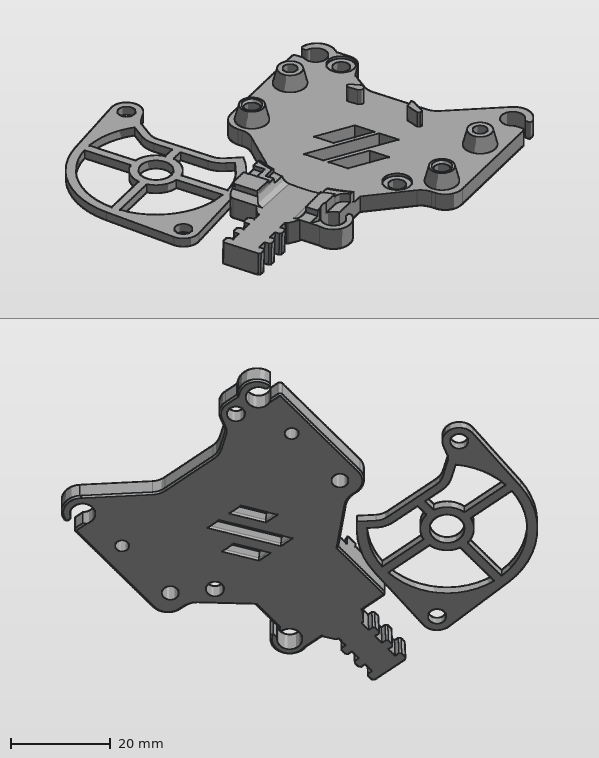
import cadquery as cq
import math

plate_top = 4.1
arm_top = 5.0
block_top = 6.9
pad_top = 7.55
grille_top = 2.0
edge_chamfer = 0.4

overshoot = 0.8

plate_half_width = 26.8
plate_bottom = -4.55
plate_corner_radius = 3.9
shoulder_x = 20.35
shoulder_radius = 4.25
lip_y = 24.35
lip_radius = 0.6

notch_y = 20.65
notch_half_width = 7.6
notch_radius = 4.25
notch_slope = math.radians(36)
notch_end_x = 20.5
boss_x, boss_y, boss_radius = -16.7, 26.05, 3.4
boss_flank = math.radians(20)
boss_blend_radius = 1.9
boss_flank_x = boss_x + boss_radius * math.cos(boss_flank)
boss_flank_y = boss_y + boss_radius * math.sin(boss_flank)

hook_x, hook_y = 22.8, 26.8
hook_radius = 3.9
hook_hole_y = 26.35
hook_hole_radius = 2.55
hook_gap_top = 27.0
tip_round = 0.55
side_hook_x, side_hook_y = 10.6, -24.05
side_hook_gap_x = 12.3
side_hook_tip_y = -21.0

screw_diameter = 3.6
screw_head_diameter = 6.0
screw_head_depth = 0.6
lower_screw = (14.25, -4.9)

standoff_spacing_x, standoff_spacing_y = 44.0, 15.2
standoff_center_x = -0.2
standoff_base_diameter, standoff_tip_diameter = 7.0, 5.25
pilot_top_diameter, pilot_bottom_diameter = 3.0, 2.8
insert_diameter, insert_mouth_diameter, insert_mouth_depth = 3.4, 4.2, 0.6

rounded_post_ends = [(-6.8, 16.2, 0.9), (-8.8, 15.7, 0.55)]
wedge_post_corners = [(4.6, 17.35), (5.5, 17.0), (8.4, 15.2), (8.25, 14.6), (7.7, 14.25), (4.85, 15.25)]

windows = [(-8.3, 0.8, 8.4), (-6.9, -5.7, 8.4), (-1.2, -5.7, 2.0)]
window_width = 4.55
window_lean = 0.66
window_inset = 0.6
window_straight_height = 1.0

block_left, block_right = -11.4, 10.55
block_bottom, block_left_top, block_right_top = -27.8, -12.65, -13.2
block_corner_radius = 0.9
wall_radius, wall_center_y = 29.3, 11.5
wall_chamfer_width, wall_chamfer_height = 0.6, 0.2
wall_foot_width, wall_foot_height = 0.4, 0.2
pad_front_y = -26.4
pad_corner_radius = 0.7
front_step_z = 6.25
left_pad_y = -21.9
right_pad_inner_y, right_pad_outer_y = -21.9, -18.9
outer_pocket_x, outer_pocket_y = -8.8, -18.0
inner_pocket_x, inner_pocket_y = -7.4, -20.0
pocket_floor = 6.0
clearance_x, clearance_y, clearance_radius = 8.3, -17.3, 2.3
clearance_outer_x = block_right + overshoot
clearance_flare_y = -26.05
clearance_flare_x, clearance_end_x = 8.6, 7.5
channel_half_width_inner, channel_half_width_outer = 5.4, 5.7
channel_radius = 2.0
channel_start_y = -15.4

arm_half_width = 3.0
neck_half_width, neck_end_half_width = 5.1, 3.6
neck_taper_y, neck_end_y = -29.9, -30.1
neck_end_chamfer = neck_taper_y - neck_end_y
tooth_half_width = 4.4
tooth_length, tooth_pitch, tooth_count = 2.0, 4.2, 3
first_tooth_y = -32.1
tooth_lean = 0.2
tooth_chamfer = 0.4

grille_dx, grille_dy = -30.1, -33.7
hub_x, hub_y = -31.1, -22.9
hub_diameter, hub_hole_diameter = 10.8, 7.0
ring_outer_radius, ring_inner_radius = 18.1, 16.0
spoke_width = 1.9
rim_width = 1.8
corner_ear_x, corner_ear_y, corner_ear_radius = -15.7, -38.45, 3.5


def rounded_outline(corners, z=0.0):
    """Closed outline through (x, y, radius) corners, each rounded by a tangent arc."""
    outline = None
    for i, (x, y, radius) in enumerate(corners):
        before, after = corners[i - 1], corners[(i + 1) % len(corners)]
        toward_before = cq.Vector(before[0] - x, before[1] - y).normalized()
        toward_after = cq.Vector(after[0] - x, after[1] - y).normalized()
        corner = cq.Vector(x, y)
        half_angle = toward_before.getAngle(toward_after) / 2
        setback = radius / math.tan(half_angle)
        start = corner + toward_before * setback
        end = corner + toward_after * setback
        if outline is None:
            outline = cq.Workplane("XY", origin=(0, 0, z)).moveTo(start.x, start.y)
        else:
            outline = outline.lineTo(start.x, start.y)
        if radius > 0:
            bisector = (toward_before + toward_after).normalized()
            middle = corner + bisector * (radius / math.sin(half_angle) - radius)
            outline = outline.threePointArc((middle.x, middle.y), (end.x, end.y))
    return outline.close()


def box(x_range, y_range, z_range):
    size = [high - low for low, high in (x_range, y_range, z_range)]
    return cq.Workplane("XY").box(*size, centered=False).translate((x_range[0], y_range[0], z_range[0]))


def disc(x, y, radius, bottom, top):
    return cq.Workplane("XY", origin=(x, y, bottom)).circle(radius).extrude(top - bottom)


def cone(x, y, bottom, bottom_diameter, top, top_diameter):
    lower = cq.Workplane("XY", origin=(x, y, bottom)).circle(bottom_diameter / 2)
    return lower.workplane(offset=top - bottom).circle(top_diameter / 2).loft()


def tangent_hull(first, second, height):
    """Two discs (x, y, radius) joined by their outer tangents."""
    (x1, y1, r1), (x2, y2, r2) = first, second
    heading = math.atan2(y2 - y1, x2 - x1)
    spread = math.acos((r1 - r2) / math.hypot(x2 - x1, y2 - y1))
    left, right = heading + spread, heading - spread
    points = [
        (x1 + r1 * math.cos(left), y1 + r1 * math.sin(left)),
        (x1 + r1 * math.cos(right), y1 + r1 * math.sin(right)),
        (x2 + r2 * math.cos(right), y2 + r2 * math.sin(right)),
        (x2 + r2 * math.cos(left), y2 + r2 * math.sin(left)),
    ]
    web = cq.Workplane("XY").polyline(points).close().extrude(height)
    return web.union(disc(x1, y1, r1, 0, height)).union(disc(x2, y2, r2, 0, height))


def notch_corners():
    """Corners of the upper edge, from the top of the screw boss to the right-hand hook."""
    slope = math.tan(notch_slope)
    boss_top = boss_y + boss_radius
    flank_run = math.tan(boss_flank)
    shoulder = boss_flank_x - (boss_top - boss_flank_y) * flank_run
    rise_at_flank = notch_y + slope * (-notch_half_width - boss_flank_x)
    drop = (boss_flank_y - rise_at_flank) / (1 - slope * flank_run)
    end_y = notch_y + slope * (notch_end_x - notch_half_width)
    return [
        (shoulder, boss_top, boss_radius),
        (boss_flank_x + flank_run * drop, boss_flank_y - drop, boss_blend_radius),
        (-notch_half_width, notch_y, notch_radius),
        (notch_half_width, notch_y, notch_radius),
        (notch_end_x, end_y, 0),
    ]


def upper_hook(side):
    x = side * hook_x
    hook = disc(x, hook_y, hook_radius, 0, plate_top).faces("<Z").chamfer(edge_chamfer)
    gap_ends = sorted((x, side * (plate_half_width + overshoot)))
    hook = hook.cut(box(gap_ends, (lip_y - hook_radius, hook_gap_top), (0, plate_top)))
    hook = hook.cut(disc(x, hook_hole_y, hook_hole_radius, 0, plate_top))
    tip_ends = sorted((x + side * hook_hole_radius / 2, side * (plate_half_width + overshoot)))
    tip = cq.selectors.BoxSelector(
        (tip_ends[0], hook_gap_top - tip_round, -overshoot),
        (tip_ends[1], hook_gap_top + tip_round, plate_top + overshoot),
    )
    return hook.edges("|Z").edges(tip).fillet(tip_round)


def base_plate():
    notch = notch_corners()
    boss_top = boss_y + boss_radius
    slope = math.tan(notch_slope)
    hook_side_x = -notch_half_width - (boss_top - notch_y) / slope
    corners = [
        (-plate_half_width, plate_bottom, plate_corner_radius),
        (-shoulder_x, plate_bottom, shoulder_radius),
        (block_left, block_left_top, 0),
        (block_left, block_bottom, block_corner_radius),
        (block_right, block_bottom, 0),
        (block_right, block_right_top, 0),
        (shoulder_x, plate_bottom, shoulder_radius),
        (plate_half_width, plate_bottom, plate_corner_radius),
        (plate_half_width, lip_y, lip_radius),
        (hook_x, lip_y, 0),
        *reversed(notch),
        (hook_side_x, boss_top, 0),
        (-notch_end_x, notch[-1][1], 0),
        (-hook_x, lip_y, 0),
        (-plate_half_width, lip_y, lip_radius),
    ]
    plate = rounded_outline(corners).extrude(plate_top).faces("<Z").chamfer(edge_chamfer)
    for side in (-1, 1):
        plate = plate.union(upper_hook(side))
        plate = plate.cut(disc(side * hook_x, hook_hole_y, hook_hole_radius, 0, plate_top))
    return plate


def window(left, bottom, top):
    lean = window_lean * (top - bottom)
    points = [
        (left, bottom),
        (left + window_width, bottom),
        (left + window_width + lean, top),
        (left + lean, top),
    ]
    sketch = cq.Workplane("XY").polyline(points).close()
    straight = sketch.offset2D(-window_inset).extrude(window_straight_height)
    flare_height = plate_top - window_straight_height
    flare_angle = math.degrees(math.atan(window_inset / flare_height))
    flare = cq.Workplane("XY", origin=(0, 0, plate_top)).polyline(points).close()
    return straight.union(flare.extrude(-flare_height, taper=flare_angle))


def standoff(x, y):
    return cone(x, y, plate_top, standoff_base_diameter, pad_top, standoff_tip_diameter)


def pilot_hole(x, y):
    return cone(x, y, 0, pilot_bottom_diameter, pad_top, pilot_top_diameter)


def insert_hole(x, y):
    mouth_z = pad_top - insert_mouth_depth
    hole = disc(x, y, insert_diameter / 2, 0, pad_top)
    return hole.union(cone(x, y, mouth_z, insert_diameter, pad_top, insert_mouth_diameter))


def screw_hole(x, y):
    hole = disc(x, y, screw_diameter / 2, 0, plate_top)
    return hole.union(disc(x, y, screw_head_diameter / 2, plate_top - screw_head_depth, plate_top))


def locating_posts():
    height = pad_top - plate_top
    rounded = tangent_hull(*rounded_post_ends, height)
    wedge = cq.Workplane("XY").polyline(wedge_post_corners).close().extrude(height)
    return rounded.union(wedge).translate((0, 0, plate_top))


def channel_section(half_width, y):
    """Round-bottomed channel outline on a plane facing -Y."""
    floor_half = half_width - channel_radius
    arc_center_z = arm_top + channel_radius
    sag = channel_radius * math.sqrt(0.5)
    rim = pad_top + overshoot
    return (
        cq.Workplane("XZ", origin=(0, y, 0))
        .moveTo(-half_width, rim)
        .lineTo(-half_width, arc_center_z)
        .threePointArc((-floor_half - sag, arc_center_z - sag), (-floor_half, arm_top))
        .lineTo(floor_half, arm_top)
        .threePointArc((floor_half + sag, arc_center_z - sag), (half_width, arc_center_z))
        .lineTo(half_width, rim)
        .close()
        .wires()
        .val()
    )


def channel():
    inner = channel_section(channel_half_width_inner, channel_start_y)
    outer = channel_section(channel_half_width_outer, block_bottom)
    return cq.Workplane(cq.Solid.makeLoft([inner, outer], True))


def clamp_block():
    corners = [
        (block_left, block_bottom, block_corner_radius),
        (block_right, block_bottom, 0),
        (block_right, block_right_top, 0),
        (block_left, block_right_top, 0),
    ]
    block = rounded_outline(corners, edge_chamfer).extrude(block_top - edge_chamfer)

    left_pad = [
        (block_left, pad_front_y, pad_corner_radius),
        (0, pad_front_y, 0),
        (0, left_pad_y, 0),
        (block_left, left_pad_y, 0),
    ]
    right_pad = [
        (0, pad_front_y, 0),
        (block_right, pad_front_y, 0),
        (block_right, right_pad_outer_y, 0),
        (0, right_pad_inner_y, 0),
    ]
    for pad in (left_pad, right_pad):
        block = block.union(rounded_outline(pad, arm_top).extrude(pad_top - arm_top))

    front = [
        (pad_front_y, pad_top + overshoot),
        (pad_front_y, front_step_z),
        (block_bottom, arm_top),
        (block_bottom - overshoot, arm_top),
        (block_bottom - overshoot, pad_top + overshoot),
    ]
    front_cut = cq.Workplane("YZ", origin=(block_left, 0, 0)).polyline(front).close()
    block = block.cut(front_cut.extrude(block_right - block_left))

    foot_top = plate_top + wall_foot_height
    foot_diameter = 2 * (wall_radius - wall_foot_width)
    wall_cut = disc(0, wall_center_y, wall_radius, foot_top, pad_top)
    wall_foot = cone(0, wall_center_y, plate_top, foot_diameter, foot_top, 2 * wall_radius)
    chamfer_bottom = block_top - wall_chamfer_height
    wall_chamfer = cone(
        0, wall_center_y, chamfer_bottom, 2 * wall_radius, block_top, 2 * (wall_radius + wall_chamfer_width)
    )
    block = block.cut(wall_cut).cut(wall_foot).cut(wall_chamfer)

    deep = (pocket_floor, pad_top)
    block = block.cut(box((block_left, outer_pocket_x), (left_pad_y, outer_pocket_y), deep))
    block = block.cut(box((inner_pocket_x, 0), (inner_pocket_y, channel_start_y), deep))

    clearance = [
        (clearance_x, clearance_y, clearance_radius),
        (clearance_x, clearance_flare_y, 0),
        (clearance_flare_x, clearance_flare_y, 0),
        (clearance_end_x, block_bottom, 0),
        (clearance_outer_x, block_bottom, 0),
        (clearance_outer_x, clearance_y, 0),
    ]
    block = block.cut(rounded_outline(clearance, arm_top).extrude(pad_top - arm_top))
    return block.cut(channel())


def side_hook():
    return disc(side_hook_x, side_hook_y, hook_radius, 0, arm_top).faces("<Z").chamfer(edge_chamfer)


def side_hook_opening():
    hole = disc(side_hook_x, side_hook_y, hook_hole_radius, 0, pad_top)
    disc_top = side_hook_y + hook_radius + overshoot
    disc_right = side_hook_x + hook_radius + overshoot
    gap = box((block_right, side_hook_gap_x), (side_hook_y, disc_top), (0, pad_top))
    beyond_tip = box((block_right, disc_right), (side_hook_tip_y, disc_top), (0, pad_top))
    return hole.union(gap).union(beyond_tip)


def arm_tooth(y):
    profile = [
        (y, arm_top),
        (y - tooth_length, arm_top),
        (y - tooth_length - tooth_lean, 0),
        (y - tooth_lean, 0),
    ]
    tooth = cq.Workplane("YZ").polyline(profile).close().extrude(tooth_half_width, both=True)
    return tooth.edges("not(#Z or |X)").chamfer(tooth_chamfer)


def arm():
    last_tooth_y = first_tooth_y - (tooth_count - 1) * tooth_pitch
    shaft_end = last_tooth_y - tooth_length / 2
    half_outline = [
        (neck_half_width, block_bottom + overshoot),
        (neck_half_width, block_bottom),
        (neck_end_half_width, neck_taper_y),
        (neck_end_half_width - neck_end_chamfer, neck_end_y),
        (arm_half_width, neck_end_y),
        (arm_half_width, shaft_end),
    ]
    other_half = [(-x, y) for x, y in reversed(half_outline)]
    bar = cq.Workplane("XY").polyline(half_outline + other_half).close().extrude(arm_top)
    for i in range(tooth_count):
        bar = bar.union(arm_tooth(first_tooth_y - i * tooth_pitch))
    return bar


def build_housing():
    housing = base_plate().union(clamp_block()).union(side_hook()).union(arm())
    housing = housing.cut(side_hook_opening())
    housing = housing.union(locating_posts())
    for left, bottom, top in windows:
        housing = housing.cut(window(left, bottom, top))
    for side in (-1, 1):
        x = standoff_center_x + side * standoff_spacing_x / 2
        housing = housing.union(standoff(x, standoff_spacing_y)).cut(pilot_hole(x, standoff_spacing_y))
        housing = housing.union(standoff(x, 0)).cut(insert_hole(x, 0))
    for x, y in ((boss_x, boss_y), lower_screw):
        housing = housing.cut(screw_hole(x, y))
    return housing


def grille_opening():
    """Ring interior below the notched rim, divided by the hub and four spokes."""
    corner_shift = rim_width * math.tan(notch_slope / 2)
    flat_y = notch_y - rim_width
    flat_half = notch_half_width + corner_shift
    reach = 2 * ring_outer_radius
    rise = reach * math.tan(notch_slope)
    radius = notch_radius + rim_width
    below_rim = [
        (-flat_half - reach, flat_y + rise, 0),
        (-flat_half - reach, flat_y - reach, 0),
        (flat_half + reach, flat_y - reach, 0),
        (flat_half + reach, flat_y + rise, 0),
        (flat_half, flat_y, radius),
        (-flat_half, flat_y, radius),
    ]
    opening = disc(hub_x, hub_y, ring_inner_radius, 0, grille_top)
    opening = opening.intersect(
        rounded_outline(below_rim).extrude(grille_top).translate((grille_dx, grille_dy, 0))
    )
    spoke_length = 2 * ring_outer_radius
    spokes = cq.Workplane("XY").rect(spoke_length, spoke_width).extrude(grille_top)
    spokes = spokes.union(cq.Workplane("XY").rect(spoke_width, spoke_length).extrude(grille_top))
    opening = opening.cut(spokes.translate((hub_x, hub_y, 0)))
    opening = opening.cut(disc(hub_x, hub_y, hub_diameter / 2, 0, grille_top))
    return opening.union(disc(hub_x, hub_y, hub_hole_diameter / 2, 0, grille_top))


def build_grille():
    top_ear = (boss_x + grille_dx, boss_y + grille_dy, boss_radius)
    corner_ear = (corner_ear_x, corner_ear_y, corner_ear_radius)
    ring = (hub_x, hub_y, ring_outer_radius)
    grille = tangent_hull(top_ear, ring, grille_top).union(tangent_hull(corner_ear, ring, grille_top))

    cut_top = boss_y + 2 * boss_radius
    above_notch = [
        (boss_x, boss_y, 0),
        (boss_flank_x, boss_flank_y, 0),
        *notch_corners()[1:],
        (notch_end_x, cut_top, 0),
        (boss_x, cut_top, 0),
    ]
    notch_cut = rounded_outline(above_notch).extrude(grille_top)
    grille = grille.cut(notch_cut.translate((grille_dx, grille_dy, 0)))
    grille = grille.union(disc(*top_ear, 0, grille_top))
    grille = grille.cut(grille_opening())
    for x, y, _ in (top_ear, corner_ear):
        grille = grille.cut(disc(x, y, screw_diameter / 2, 0, grille_top))
    return grille


housing = build_housing()
grille = build_grille()
result = cq.Compound.makeCompound([housing.val(), grille.val()])